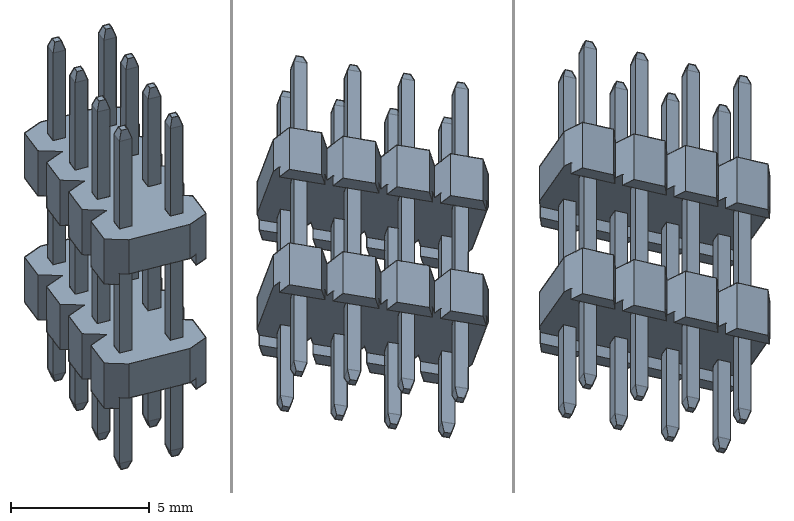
import cadquery as cq

columns = 4
rows = 2
housing_length = 8.0
pitch = housing_length / columns

housing_depth = 4.0
housing_height = 2.0
upper_housing_top = 10.75
housing_spacing = 5.49
notch_depth = 0.8
notch_half_width = notch_depth / 2
foot_height = 0.48
foot_depth = 0.5

pin_length = 15.0
pin_width = 0.5
tip_width = 0.25
tip_length = 0.38


def housing_outline():
    """Points around the scalloped outline: one trapezoid lobe per column, front and back."""
    shoulder_y = housing_depth / 2 - notch_depth
    front = [(-housing_length / 2, -shoulder_y)]
    for column in range(columns):
        lobe_start = -housing_length / 2 + column * pitch
        lobe_end = lobe_start + pitch
        front.append((lobe_start + notch_half_width, -housing_depth / 2))
        front.append((lobe_end - notch_half_width, -housing_depth / 2))
        front.append((lobe_end, -shoulder_y))
    back = [(x, -y) for x, y in reversed(front)]
    return front + back


def make_housing(top):
    """Housing with a lengthwise channel underneath that leaves feet along both long sides."""
    bottom = top - housing_height
    body = (
        cq.Workplane("XY")
        .workplane(offset=bottom)
        .polyline(housing_outline())
        .close()
        .extrude(housing_height)
    )
    channel = (
        cq.Workplane("XY")
        .workplane(offset=bottom)
        .rect(housing_length, housing_depth - 2 * foot_depth)
        .extrude(foot_height)
    )
    return body.cut(channel)


def make_tip(x, y, base_z, direction):
    """Tapered pin end growing from base_z, upward for direction 1 and downward for -1."""
    return (
        cq.Workplane("XY", origin=(x, y, base_z))
        .rect(pin_width, pin_width)
        .workplane(offset=direction * tip_length)
        .rect(tip_width, tip_width)
        .loft(ruled=True)
    )


def make_pin(x, y):
    """Full-length pin standing on z = 0."""
    shaft = (
        cq.Workplane("XY", origin=(x, y, tip_length))
        .rect(pin_width, pin_width)
        .extrude(pin_length - 2 * tip_length)
    )
    lower_tip = make_tip(x, y, tip_length, -1)
    upper_tip = make_tip(x, y, pin_length - tip_length, 1)
    return shaft.union(lower_tip).union(upper_tip)


lower_housing = make_housing(upper_housing_top - housing_spacing)
upper_housing = make_housing(upper_housing_top)
result = lower_housing.union(upper_housing)

for column in range(columns):
    for row in range(rows):
        pin_x = (column - (columns - 1) / 2) * pitch
        pin_y = (row - (rows - 1) / 2) * pitch
        result = result.union(make_pin(pin_x, pin_y))